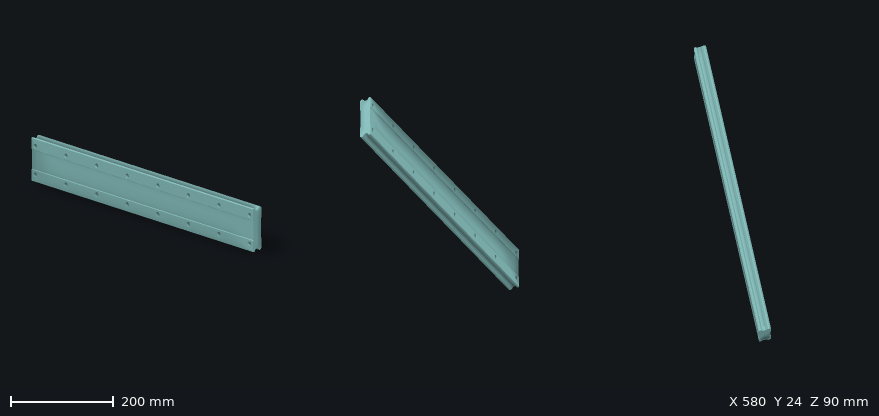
import cadquery as cq

LENGTH = 580.0
THICKNESS = 24.0
HEIGHT = 90.0

REAR_CHAMFER = 3.0

FRONT_CHAMFER = 0.85

GROOVE_DEPTH = 5.0
FRONT_LIP = 4.0
FRONT_WALL_RUN = 3.0
GROOVE_FLOOR = 6.0
REAR_WALL_RUN = 5.0

RELIEF_HEIGHT = 42.5
RELIEF_DEPTH = 1.0

HOLE_DIAMETER = 9.0
HOLES_PER_ROW = 8
HOLE_PITCH = 80.0
HOLE_ROW_SPACING = 60.0


def make_bar():
    """Plain bar with its front face on Y = 0 and its long edges chamfered."""
    bar = cq.Workplane("XY").box(LENGTH, THICKNESS, HEIGHT)
    bar = bar.translate((0, THICKNESS / 2, 0))
    bar = bar.faces(">Y").edges("|X").chamfer(REAR_CHAMFER)
    return bar.faces("<Y").edges("|X").chamfer(FRONT_CHAMFER)


def full_length_cutter(outline):
    """Extrude a closed (Y, Z) outline over the whole length of the bar."""
    return cq.Workplane("YZ").polyline(outline).close().extrude(LENGTH / 2, both=True)


def make_groove(side):
    """Groove cutter for the top edge (side = 1) or the bottom edge (side = -1)."""
    mouth_z = side * HEIGHT / 2
    floor_z = side * (HEIGHT / 2 - GROOVE_DEPTH)
    floor_start = FRONT_LIP + FRONT_WALL_RUN
    floor_end = floor_start + GROOVE_FLOOR
    return full_length_cutter([
        (FRONT_LIP, mouth_z),
        (floor_start, floor_z),
        (floor_end, floor_z),
        (floor_end + REAR_WALL_RUN, mouth_z),
    ])


def make_relief(face_y, inward):
    """Relief cutter on the face at face_y, sunk in the Y direction given by inward."""
    floor_y = face_y + inward * RELIEF_DEPTH
    mouth_half = RELIEF_HEIGHT / 2
    floor_half = mouth_half - RELIEF_DEPTH
    return full_length_cutter([
        (face_y, -mouth_half),
        (floor_y, -floor_half),
        (floor_y, floor_half),
        (face_y, mouth_half),
    ])


def make_holes():
    """Cutter for both rows of round holes through the thickness."""
    return (
        cq.Workplane("XZ")
        .rarray(HOLE_PITCH, HOLE_ROW_SPACING, HOLES_PER_ROW, 2)
        .circle(HOLE_DIAMETER / 2)
        .extrude(-THICKNESS)
    )


result = make_bar()
for side in (1, -1):
    result = result.cut(make_groove(side))
result = result.cut(make_relief(0, 1))
result = result.cut(make_relief(THICKNESS, -1))
result = result.cut(make_holes())